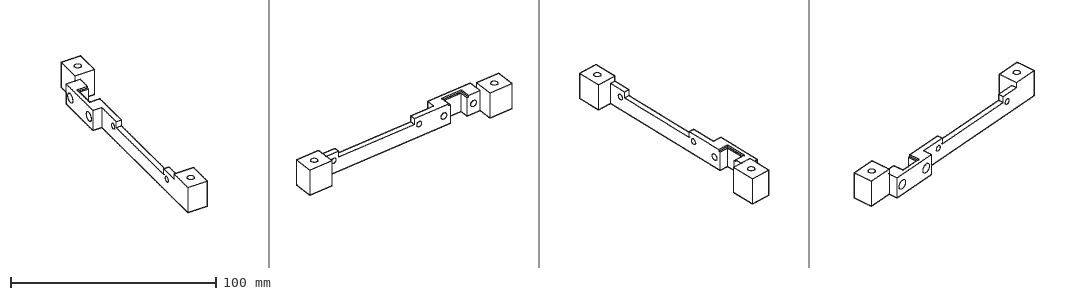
import cadquery as cq

length = 123.0
depth = 16.0
block_height = 15.0

block_front = 5.0
block_length = 13.5
mount_hole_diameter = 3.5

rail_height = 12.0
rail_back = 8.0
notch_start = 53.5
notch_end = 99.5
notch_floor = 8.5
rail_hole_diameter = 3.0
rail_hole_height = 7.5
rail_hole_gap = 3.0

boss_length = 26.0
boss_center = block_length + boss_length / 2
boss_hole_spacing = 18.0
boss_hole_height = 6.0
boss_hole_diameter = 3.5
boss_counterbore_diameter = 5.0
boss_counterbore_depth = 5.0

slot_width = 10.0
slot_front = 3.1
ledge_width = 1.0
ledge_depth = 1.0


def box(x_start, x_end, y_start, y_end, z_start, z_end):
    """Box between two opposite corners."""
    size = (x_end - x_start, y_end - y_start, z_end - z_start)
    return cq.Workplane().box(*size, centered=False).translate((x_start, y_start, z_start))


def cross_hole(x, z, diameter, hole_depth):
    """Cylinder running along +Y from the front plane."""
    return cq.Workplane("XZ").center(x, z).circle(diameter / 2).extrude(-hole_depth)


def end_block(x_start):
    """End block with a vertical mounting hole through its center."""
    x_end = x_start + block_length
    hole_x = (x_start + x_end) / 2
    block = box(x_start, x_end, block_front, depth, 0, block_height)
    hole_y = (block_front + depth) / 2
    hole = cq.Workplane().center(hole_x, hole_y).circle(mount_hole_diameter / 2).extrude(block_height)
    return block.cut(hole)


def rail():
    """Thin rail with a long top notch and a hole beside each notch end."""
    right_end = length - block_length
    body = box(block_length, right_end, block_front, rail_back, 0, rail_height)
    body = body.cut(box(notch_start, notch_end, block_front, rail_back, notch_floor, rail_height))
    for x in (notch_start - rail_hole_gap, notch_end + rail_hole_gap):
        body = body.cut(cross_hole(x, rail_hole_height, rail_hole_diameter, rail_back))
    return body


def boss():
    """Block that thickens the rail towards the front."""
    boss_end = block_length + boss_length
    return box(block_length, boss_end, 0, rail_back, 0, rail_height)


def boss_holes():
    """Pair of holes counterbored from the front of the boss."""
    holes = cq.Workplane()
    for x in (boss_center - boss_hole_spacing / 2, boss_center + boss_hole_spacing / 2):
        holes = holes.add(cross_hole(x, boss_hole_height, boss_hole_diameter, rail_back))
        holes = holes.add(cross_hole(x, boss_hole_height, boss_counterbore_diameter, boss_counterbore_depth))
    return holes.combine()


def slot():
    """Vertical slot, wider above the ledge."""
    half = slot_width / 2
    narrow = box(boss_center - half, boss_center + half, slot_front, rail_back, 0, rail_height)
    wide_half = half + ledge_width
    ledge_height = rail_height - ledge_depth
    wide = box(
        boss_center - wide_half,
        boss_center + wide_half,
        slot_front - ledge_width,
        rail_back,
        ledge_height,
        rail_height,
    )
    return narrow.union(wide)


left_block = end_block(0)
right_block = end_block(length - block_length)

result = rail().union(boss()).cut(boss_holes()).cut(slot()).union(left_block).union(right_block)